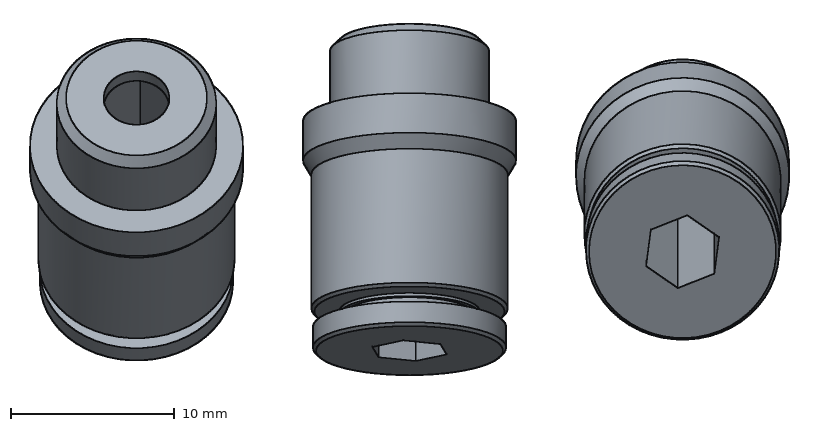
import cadquery as cq
import math

flange_diameter = 13.0
body_diameter = 12.0
release_ring_diameter = 11.8
stud_diameter = 9.73
lip_diameter = 8.6
neck_diameter = 8.0

overall_height = 19.5
ring_top = 1.5
lip_bottom = 2.28
body_bottom = 2.48
flange_bottom = 12.01
flange_top = 14.5

stud_chamfer = 0.57
small_chamfer = 0.2
flange_cone_angle = 60.0

bore_diameter = 4.0
bore_depth = 1.0
hex_across_flats = 4.2

flange_radius = flange_diameter / 2
body_radius = body_diameter / 2
ring_radius = release_ring_diameter / 2
stud_radius = stud_diameter / 2
lip_radius = lip_diameter / 2
neck_radius = neck_diameter / 2

cone_height = (flange_radius - body_radius) * math.tan(math.radians(flange_cone_angle))


def make_turned_body():
    """Revolve the outer half profile, from the bottom face up, about Z."""
    profile = [
        (0, 0),
        (ring_radius - small_chamfer, 0),
        (ring_radius, small_chamfer),
        (ring_radius, ring_top),
        (neck_radius + small_chamfer, ring_top),
        (neck_radius, ring_top + small_chamfer),
        (neck_radius, lip_bottom),
        (lip_radius, lip_bottom),
        (lip_radius, body_bottom),
        (body_radius - small_chamfer, body_bottom),
        (body_radius, body_bottom + small_chamfer),
        (body_radius, flange_bottom - cone_height),
        (flange_radius, flange_bottom),
        (flange_radius, flange_top),
        (stud_radius, flange_top),
        (stud_radius, overall_height - stud_chamfer),
        (stud_radius - stud_chamfer, overall_height),
        (0, overall_height),
    ]
    return cq.Workplane("XZ").polyline(profile).close().revolve(360, (0, 0, 0), (0, 1, 0))


def make_passage():
    """Round bore at the top, then a hexagonal socket with flats facing +X and -X."""
    socket_height = overall_height - bore_depth
    hex_corner_diameter = hex_across_flats / math.cos(math.radians(30))
    socket = (
        cq.Workplane("XY")
        .transformed(rotate=(0, 0, 30))
        .polygon(6, hex_corner_diameter)
        .extrude(socket_height)
    )
    bore = cq.Workplane("XY").circle(bore_diameter / 2).extrude(overall_height)
    return socket.union(bore)


result = make_turned_body().cut(make_passage())